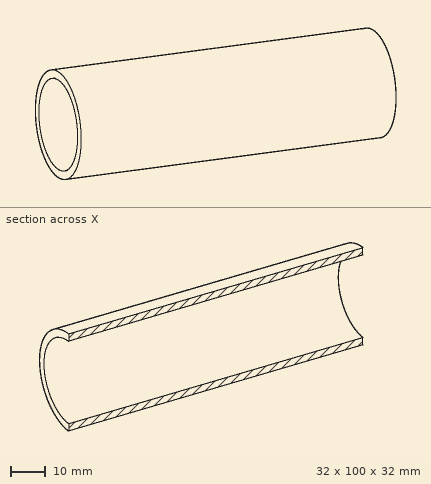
import cadquery as cq

length = 100.0
outer_diameter = 32.0
wall = 2.5
inner_diameter = outer_diameter - 2 * wall

result = (
    cq.Workplane("XZ", origin=(0, length / 2, 0))
    .circle(outer_diameter / 2)
    .circle(inner_diameter / 2)
    .extrude(length)
)